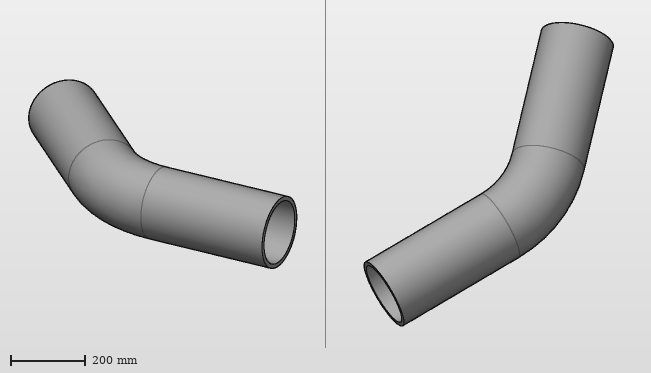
import cadquery as cq
import math

outer_diameter = 200.0
bore_diameter = 176.2
bend_angle = 45.0
bend_radius = 1.5 * outer_diameter
end_to_corner = 495.0

tangent_length = bend_radius * math.tan(math.radians(bend_angle / 2))
leg_length = end_to_corner - tangent_length


def pipe_ring(plane):
    """Annular pipe section on the given plane."""
    return cq.Workplane(plane).circle(outer_diameter / 2).circle(bore_diameter / 2)


def bend_point(angle):
    """Point on the elbow axis after turning by the given angle in degrees."""
    turn = math.radians(angle)
    return (bend_radius * math.sin(turn), bend_radius * (1 - math.cos(turn)), 0)


bend_start = bend_point(0)
bend_end = bend_point(bend_angle)
exit_turn = math.radians(bend_angle)
exit_direction = (math.cos(exit_turn), math.sin(exit_turn), 0)

inlet_plane = cq.Plane(origin=bend_start, xDir=(0, 1, 0), normal=(1, 0, 0))
outlet_plane = cq.Plane(origin=bend_end, xDir=(0, 0, 1), normal=exit_direction)

inlet_leg = pipe_ring(inlet_plane).extrude(-leg_length)

elbow = pipe_ring(inlet_plane).revolve(bend_angle, (bend_radius, 0, 0), (bend_radius, 1, 0))

outlet_leg = pipe_ring(outlet_plane).extrude(leg_length)

result = inlet_leg.union(elbow).union(outlet_leg)